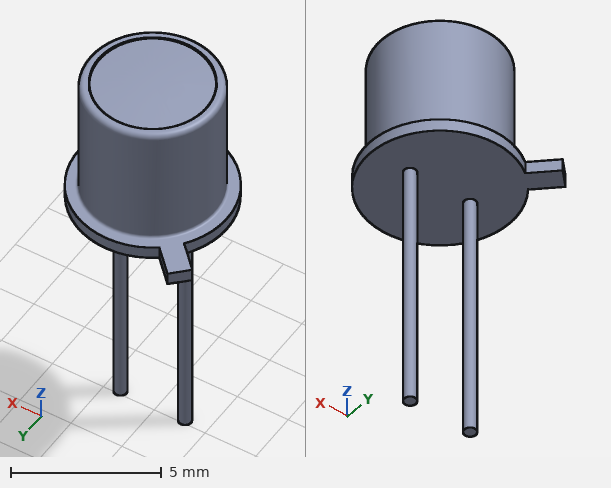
import cadquery as cq

OVERALL_HEIGHT = 15.4

FLANGE_DIAMETER = 5.85
FLANGE_THICKNESS = 0.5

TAB_WIDTH = 0.85
TAB_REACH = 4.15
TAB_ANGLE = 135.0

CAN_DIAMETER = 4.95
CAN_TOP_ROUND = 0.2
CAN_FOOT_ROUND = 0.11

PIN_DIAMETER = 0.48
PIN_LENGTH = 10.01
PIN_PITCH = 2.54

OPENING_DIAMETER = 4.25
OPENING_DEPTH = 0.46
WINDOW_DIAMETER = 4.2
WINDOW_STAND_OUT = 0.08
DOME_HEIGHT = 0.11

can_radius = CAN_DIAMETER / 2
window_radius = WINDOW_DIAMETER / 2
window_peak = OVERALL_HEIGHT - PIN_LENGTH
can_top = window_peak - WINDOW_STAND_OUT
seat_height = can_top - OPENING_DEPTH
dome_edge = window_peak - DOME_HEIGHT
dome_radius = (window_radius**2 + DOME_HEIGHT**2) / (2 * DOME_HEIGHT)


def revolve_about_z(profile):
    """Turn a closed XZ profile a full circle about the can axis."""
    return profile.revolve(360, (0, 0, 0), (0, 1, 0))


def make_flange():
    return cq.Workplane("XY").circle(FLANGE_DIAMETER / 2).extrude(FLANGE_THICKNESS)


def make_tab():
    """Index tab running out from the can axis through the flange rim."""
    return (
        cq.Workplane("XY")
        .center(TAB_REACH / 2, 0)
        .rect(TAB_REACH, TAB_WIDTH)
        .extrude(FLANGE_THICKNESS)
        .rotate((0, 0, 0), (0, 0, 1), TAB_ANGLE)
    )


def make_can():
    """Cylinder with a rounded top edge."""
    can = cq.Workplane("XY").circle(can_radius).extrude(can_top)
    return can.faces(">Z").edges().fillet(CAN_TOP_ROUND)


def make_foot():
    """Concave round between the can wall and the flange."""
    foot_top = FLANGE_THICKNESS + CAN_FOOT_ROUND
    profile = (
        cq.Workplane("XZ")
        .moveTo(0, FLANGE_THICKNESS)
        .lineTo(can_radius + CAN_FOOT_ROUND, FLANGE_THICKNESS)
        .radiusArc((can_radius, foot_top), CAN_FOOT_ROUND)
        .lineTo(0, foot_top)
        .close()
    )
    return revolve_about_z(profile)


def make_pins():
    return (
        cq.Workplane("XY")
        .pushPoints([(-PIN_PITCH / 2, 0), (PIN_PITCH / 2, 0)])
        .circle(PIN_DIAMETER / 2)
        .extrude(-PIN_LENGTH)
    )


def make_opening():
    """Round recess in the can top that the window sits in."""
    return (
        cq.Workplane("XY")
        .workplane(offset=seat_height)
        .circle(OPENING_DIAMETER / 2)
        .extrude(OPENING_DEPTH)
    )


def make_housing():
    """Flange, tab, can and pins as one solid, with the window recess cut in."""
    housing = make_flange()
    for feature in (make_tab(), make_can(), make_foot(), make_pins()):
        housing = housing.union(feature)
    return housing.cut(make_opening())


def make_window():
    """Disc with a shallow domed top, resting on the floor of the recess."""
    profile = (
        cq.Workplane("XZ")
        .moveTo(0, seat_height)
        .lineTo(-window_radius, seat_height)
        .lineTo(-window_radius, dome_edge)
        .radiusArc((0, window_peak), dome_radius)
        .close()
    )
    return revolve_about_z(profile)


housing = make_housing()
window = make_window()

result = cq.Compound.makeCompound([housing.solids().val(), window.val()])